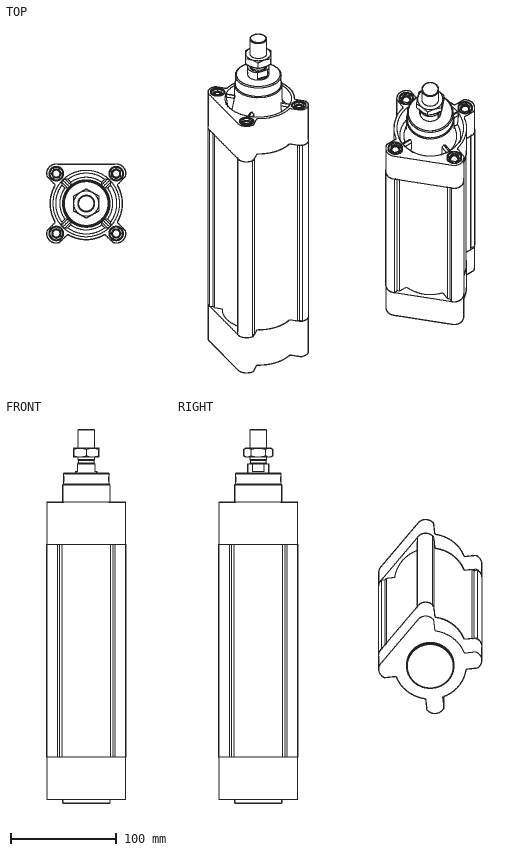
import cadquery as cq
import math

TOTAL_HEIGHT = 353.0
REAR_BOSS_HEIGHT = 4.0
CAP_LENGTH = 40.3
CAP_TOP = 284.5
HUB_TOP = 312.0
HUB_STEP = 300.5
FLATS_BOTTOM = 313.5
SHOULDER = 320.5
NUT_BOTTOM = 327.0
NUT_HEIGHT = 8.5

REAR_JOINT = REAR_BOSS_HEIGHT + CAP_LENGTH
FRONT_JOINT = CAP_TOP - CAP_LENGTH

WIDTH = 75.0
HALF_WIDTH = WIDTH / 2
SCREW_OFFSET = 28.2
CORNER_RADIUS = HALF_WIDTH - SCREW_OFFSET
CAP_RADIUS = 34.3
BARREL_RADIUS = 34.0
CAP_INSET = 0.18
LUG_SIDE = 11.5
NOTCH_FILLET = 1.0
LUG_FILLET = 2.0
LEDGE = 34.5
LEDGE_START = 25.5
BARREL_LUG_EDGE = 27.2

HUB_DIAMETER = 45.0
HUB_RIM_DIAMETER = 43.5
HUB_WAIST_DIAMETER = 42.7
HUB_TOP_DIAMETER = 41.3
HUB_CHAMFER = 1.0
RECESS_DIAMETER = 63.0
RECESS_FLOOR_OUTER = 57.5
RECESS_FLOOR_INNER = 49.8
RECESS_DEPTH = 14.0
HUB_FOOT_DEPTH = 0.7
RIB_HALF_WIDTH = 2.0
RIB_FLOOR_HALF_WIDTH = 4.0
RIB_TOP_DEPTH = 0.7
RIB_ANGLE = 45
BOSS_CHAMFER = 0.7

COUNTERBORE_DIAMETER = 13.8
SCREW_HEAD_DIAMETER = 13.0
SCREW_RIM_DIAMETER = 12.0
THREAD_MOUTH_DIAMETER = 8.0
THREAD_DIAMETER = 6.7
SOCKET_FLATS = 8.5
SOCKET_DEPTH = 2.0
SCREW_GAP_DEPTH = 1.8
SCREW_THREAD_DEPTH = 14.0
DRILL_TIP_HEIGHT = 1.8

ROD_DIAMETER = 20.0
ROD_FLATS = 17.0
ROD_THREAD_DIAMETER = 16.0
NECK_DIAMETER = 15.0
NECK_FOOT = 321.5
NECK_TOP = 323.8
THREAD_START = 325.0
TIP_CHAMFER = 0.7
NUT_FLATS = 24.0
NUT_FACE_DIAMETER = 23.5
NUT_CHAMFER_ANGLE = 30
HEXAGON_HALF_ANGLE = 30


def revolve_profile(points):
    """Solid of revolution about Z from (radius, z) points."""
    return cq.Workplane("XZ").polyline(points).close().revolve(360, (0, 0, 0), (0, 1, 0))


def four_corners(shape):
    """Copies of a shape turned to the four quadrants."""
    return [shape.rotate((0, 0, 0), (0, 0, 1), quarter * 90) for quarter in range(4)]


def fillet_edge_pair(solid, near, far, radius):
    """Round the upright edges at (near, far) and (far, near), in all four quadrants."""
    for sign_x in (1, -1):
        for sign_y in (1, -1):
            for x, y in ((near, far), (far, near)):
                upright_edge = cq.NearestToPointSelector((sign_x * x, sign_y * y, 0))
                solid = solid.edges("|Z").edges(upright_edge).fillet(radius)
    return solid


def lugged_prism(radius, lug_side, lug_outline, height):
    """Round body with four lugs; lug_outline lies in the +X +Y quadrant."""
    prism = cq.Workplane("XY").circle(radius).extrude(height)
    for lug in four_corners(lug_outline.close().extrude(height)):
        prism = prism.union(lug)
    middle = math.sqrt(radius**2 / 2 - lug_side**2 / 4)
    return fillet_edge_pair(prism, middle - lug_side / 2, middle + lug_side / 2, NOTCH_FILLET)


def corner_arc_middle(radius):
    """Middle of the lug corner arc that is centred on the screw."""
    middle = SCREW_OFFSET + radius / math.sqrt(2)
    return (middle, middle)


def cap(bottom):
    """End cap: lugs with slanted sides, and a straight wall along +Y."""
    lug_face = HALF_WIDTH - CAP_INSET
    side = LUG_SIDE - CAP_INSET
    lug = (
        cq.Workplane("XY")
        .moveTo(side, 0)
        .lineTo(lug_face, lug_face - side)
        .lineTo(lug_face, SCREW_OFFSET)
        .threePointArc(corner_arc_middle(CORNER_RADIUS - CAP_INSET), (SCREW_OFFSET, lug_face))
        .lineTo(lug_face - side, lug_face)
        .lineTo(0, side)
    )
    port_wall = (
        cq.Workplane("XY", origin=(0, SCREW_OFFSET - CORNER_RADIUS, 0))
        .rect(2 * SCREW_OFFSET, lug_face - SCREW_OFFSET + CORNER_RADIUS, centered=(True, False))
        .extrude(CAP_LENGTH)
    )
    body = lugged_prism(CAP_RADIUS, side, lug, CAP_LENGTH)
    body = fillet_edge_pair(body, lug_face - side, lug_face, LUG_FILLET)
    return body.union(port_wall).translate((0, 0, bottom))


def barrel():
    """Barrel profile: like the cap, with a ledge on each side of each lug."""
    lug = (
        cq.Workplane("XY")
        .moveTo(LUG_SIDE, 0)
        .lineTo(LEDGE, LEDGE - LUG_SIDE)
        .lineTo(LEDGE, LEDGE_START)
        .lineTo(HALF_WIDTH, BARREL_LUG_EDGE)
        .lineTo(HALF_WIDTH, SCREW_OFFSET)
        .threePointArc(corner_arc_middle(CORNER_RADIUS), (SCREW_OFFSET, HALF_WIDTH))
        .lineTo(BARREL_LUG_EDGE, HALF_WIDTH)
        .lineTo(LEDGE_START, LEDGE)
        .lineTo(LEDGE - LUG_SIDE, LEDGE)
        .lineTo(0, LUG_SIDE)
    )
    body = lugged_prism(BARREL_RADIUS, LUG_SIDE, lug, FRONT_JOINT - REAR_JOINT)
    return body.translate((0, 0, REAR_JOINT))


def hub():
    """Bearing hub on the front cap, with a slightly hollow neck."""
    rim = HUB_RIM_DIAMETER / 2
    neck_bottom = HUB_STEP + HUB_CHAMFER
    neck_top = HUB_TOP - HUB_CHAMFER
    return (
        cq.Workplane("XZ")
        .moveTo(0, FRONT_JOINT)
        .lineTo(HUB_DIAMETER / 2, FRONT_JOINT)
        .lineTo(HUB_DIAMETER / 2, HUB_STEP)
        .lineTo(rim, neck_bottom)
        .threePointArc((HUB_WAIST_DIAMETER / 2, (neck_bottom + neck_top) / 2), (rim, neck_top))
        .lineTo(HUB_TOP_DIAMETER / 2, HUB_TOP)
        .lineTo(0, HUB_TOP)
        .close()
        .revolve(360, (0, 0, 0), (0, 1, 0))
    )


def front_recess():
    """Ring-shaped recess with drafted walls, crossed by four diagonal ribs."""
    floor = CAP_TOP - RECESS_DEPTH
    ring = revolve_profile([
        (HUB_DIAMETER / 2, CAP_TOP),
        (HUB_DIAMETER / 2, CAP_TOP - HUB_FOOT_DEPTH),
        (RECESS_FLOOR_INNER / 2, floor),
        (RECESS_FLOOR_OUTER / 2, floor),
        (RECESS_DIAMETER / 2, CAP_TOP),
    ])
    rib_top = CAP_TOP - RIB_TOP_DEPTH
    rib = (
        cq.Workplane("YZ")
        .moveTo(-RIB_FLOOR_HALF_WIDTH, floor)
        .lineTo(-RIB_HALF_WIDTH, rib_top - RIB_HALF_WIDTH)
        .lineTo(0, rib_top)
        .lineTo(RIB_HALF_WIDTH, rib_top - RIB_HALF_WIDTH)
        .lineTo(RIB_FLOOR_HALF_WIDTH, floor)
        .close()
        .extrude(RECESS_DIAMETER / 2)
        .rotate((0, 0, 0), (0, 0, 1), RIB_ANGLE)
    )
    for diagonal_rib in four_corners(rib):
        ring = ring.cut(diagonal_rib)
    return ring


def screw_recess():
    """Ring gap around a corner screw, and the socket and threaded hole in its head."""
    gap = revolve_profile([
        (SCREW_RIM_DIAMETER / 2, CAP_TOP),
        (SCREW_HEAD_DIAMETER / 2, CAP_TOP - (SCREW_HEAD_DIAMETER - SCREW_RIM_DIAMETER) / 2),
        (SCREW_HEAD_DIAMETER / 2, CAP_TOP - SCREW_GAP_DEPTH),
        (COUNTERBORE_DIAMETER / 2, CAP_TOP - SCREW_GAP_DEPTH),
        (COUNTERBORE_DIAMETER / 2, CAP_TOP),
    ])
    socket_floor = CAP_TOP - SOCKET_DEPTH
    socket = (
        cq.Workplane("XY", origin=(0, 0, socket_floor))
        .polygon(6, SOCKET_FLATS, circumscribed=True)
        .extrude(SOCKET_DEPTH)
    )
    hole = revolve_profile([
        (0, CAP_TOP),
        (THREAD_MOUTH_DIAMETER / 2, CAP_TOP),
        (THREAD_MOUTH_DIAMETER / 2, socket_floor),
        (THREAD_DIAMETER / 2, socket_floor - (THREAD_MOUTH_DIAMETER - THREAD_DIAMETER) / 2),
        (THREAD_DIAMETER / 2, CAP_TOP - SCREW_THREAD_DEPTH),
        (0, CAP_TOP - SCREW_THREAD_DEPTH - DRILL_TIP_HEIGHT),
    ])
    recess = cq.Workplane(cq.Compound.makeCompound([gap.val(), socket.union(hole).val()]))
    return recess.translate((SCREW_OFFSET, SCREW_OFFSET, 0))


def make_housing(rod):
    rear_boss = (
        cq.Workplane("XY")
        .circle(HUB_DIAMETER / 2)
        .extrude(REAR_JOINT)
        .faces("<Z")
        .chamfer(BOSS_CHAMFER)
    )
    housing = barrel().union(cap(REAR_BOSS_HEIGHT)).union(rear_boss)
    housing = housing.union(cap(FRONT_JOINT)).cut(front_recess()).union(hub())
    for recess in four_corners(screw_recess()):
        housing = housing.cut(recess)
    return housing.cut(rod)


def make_rod():
    """Piston rod with two wrench flats, an undercut and a threaded end."""
    rod = revolve_profile([
        (0, FRONT_JOINT),
        (ROD_DIAMETER / 2, FRONT_JOINT),
        (ROD_DIAMETER / 2, SHOULDER),
        (ROD_THREAD_DIAMETER / 2, SHOULDER),
        (NECK_DIAMETER / 2, NECK_FOOT),
        (NECK_DIAMETER / 2, NECK_TOP),
        (ROD_THREAD_DIAMETER / 2, THREAD_START),
        (ROD_THREAD_DIAMETER / 2, TOTAL_HEIGHT - TIP_CHAMFER),
        (ROD_THREAD_DIAMETER / 2 - TIP_CHAMFER, TOTAL_HEIGHT),
        (0, TOTAL_HEIGHT),
    ])
    for side in (1, -1):
        flat = (
            cq.Workplane("XY", origin=(side * (ROD_FLATS + ROD_DIAMETER) / 2, 0, FLATS_BOTTOM))
            .rect(ROD_DIAMETER, ROD_DIAMETER)
            .extrude(SHOULDER - FLATS_BOTTOM)
        )
        rod = rod.cut(flat)
    return rod


def make_nut():
    """Hexagon nut with flats facing +-X, chamfered at both ends."""
    corner_diameter = NUT_FLATS / math.cos(math.radians(HEXAGON_HALF_ANGLE))
    chamfer_reach = (corner_diameter - NUT_FACE_DIAMETER) / 2
    chamfer_height = chamfer_reach * math.tan(math.radians(NUT_CHAMFER_ANGLE))
    top = NUT_BOTTOM + NUT_HEIGHT
    hexagon = (
        cq.Workplane("XY", origin=(0, 0, NUT_BOTTOM))
        .polygon(6, corner_diameter)
        .extrude(NUT_HEIGHT)
        .rotate((0, 0, 0), (0, 0, 1), HEXAGON_HALF_ANGLE)
    )
    rounding = revolve_profile([
        (ROD_THREAD_DIAMETER / 2, NUT_BOTTOM),
        (NUT_FACE_DIAMETER / 2, NUT_BOTTOM),
        (corner_diameter / 2, NUT_BOTTOM + chamfer_height),
        (corner_diameter / 2, top - chamfer_height),
        (NUT_FACE_DIAMETER / 2, top),
        (ROD_THREAD_DIAMETER / 2, top),
    ])
    return hexagon.intersect(rounding)


rod = make_rod()
nut = make_nut()
housing = make_housing(rod)

result = cq.Compound.makeCompound([housing.val(), rod.val(), nut.val()])